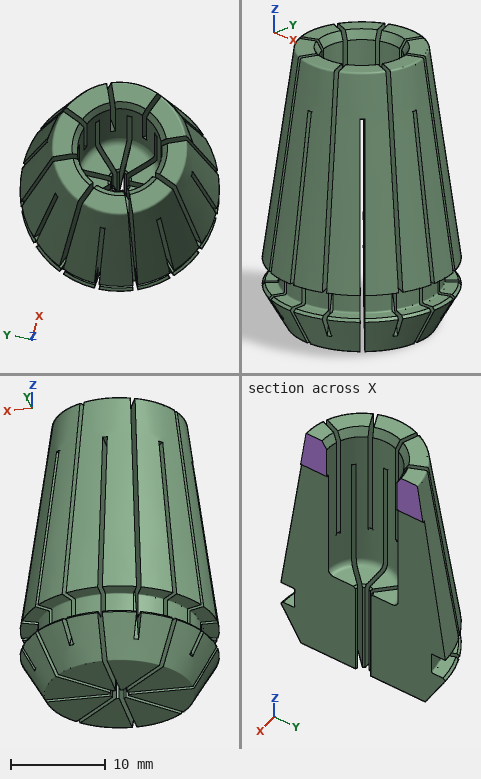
import cadquery as cq
import math

length = 31.5
max_radius = 10.5
taper_half_angle = 8.0
taper_start_z = 7.5
mouth_edge_fillet = 0.25

groove_radius = 8.75
groove_floor_z = 4.75
groove_floor_fillet = 0.2
groove_roof_fillet = 0.1

flange_rim_chamfer = 0.3
flange_half_angle = 30.0
base_edge_fillet = 0.1

clamp_bore_radius = 1.0
clamp_bore_chamfer = 0.25
relief_radius = 4.45
relief_floor_z = 12.0
relief_floor_fillet = 0.75
relief_mouth_depth = 1.0
relief_mouth_angle = 30.0

slot_width = 0.5
slots_per_set = 8
slot_pitch = 360.0 / slots_per_set
base_slot_end_z = 26.5
mouth_slot_exit_z = 2.0
mouth_slot_floor_angle = 17.0
cut_margin = 1.0


def tan_deg(angle):
    return math.tan(math.radians(angle))


flange_rim_z = groove_floor_z - flange_rim_chamfer
base_radius = max_radius - flange_rim_z * tan_deg(flange_half_angle)
mouth_radius = max_radius - (length - taper_start_z) * tan_deg(taper_half_angle)


def circle_edge(radius, z):
    """Select the circular edge about the axis with this radius and height."""
    reach = 0.01
    return cq.selectors.BoxSelector(
        (-radius - reach, -radius - reach, z - reach),
        (radius + reach, radius + reach, z + reach),
        boundingbox=True,
    )


def make_body():
    """Turned outside shape with its rounded edges."""
    body = (
        cq.Workplane("XZ")
        .moveTo(0, 0)
        .lineTo(base_radius, 0)
        .lineTo(max_radius, flange_rim_z)
        .lineTo(max_radius - flange_rim_chamfer, groove_floor_z)
        .lineTo(groove_radius, groove_floor_z)
        .lineTo(groove_radius, taper_start_z)
        .lineTo(max_radius, taper_start_z)
        .lineTo(mouth_radius, length)
        .lineTo(0, length)
        .close()
        .revolve(360, (0, 0), (0, 1))
    )
    body = body.faces(">Z").edges().fillet(mouth_edge_fillet)
    body = body.faces("<Z").edges().fillet(base_edge_fillet)
    body = body.edges(circle_edge(groove_radius, groove_floor_z)).fillet(groove_floor_fillet)
    return body.edges(circle_edge(groove_radius, taper_start_z)).fillet(groove_roof_fillet)


def make_bore():
    """Stepped bore: narrow clamping hole, wide relief and flared mouth."""
    mouth_bore_radius = relief_radius + relief_mouth_depth * tan_deg(relief_mouth_angle)
    return (
        cq.Workplane("XZ")
        .moveTo(0, 0)
        .lineTo(clamp_bore_radius, 0)
        .lineTo(clamp_bore_radius, relief_floor_z - clamp_bore_chamfer)
        .lineTo(clamp_bore_radius + clamp_bore_chamfer, relief_floor_z)
        .lineTo(relief_radius - relief_floor_fillet, relief_floor_z)
        .radiusArc((relief_radius, relief_floor_z + relief_floor_fillet), -relief_floor_fillet)
        .lineTo(relief_radius, length - relief_mouth_depth)
        .lineTo(mouth_bore_radius, length)
        .lineTo(0, length)
        .close()
        .revolve(360, (0, 0), (0, 1))
    )


def make_base_slot():
    """Slot from the base up to a square end, cutting one side of the body."""
    return cq.Workplane("XY").box(
        max_radius + cut_margin,
        slot_width,
        base_slot_end_z,
        centered=(False, True, False),
    )


def make_mouth_slot():
    """Slot open at the mouth, with a floor sloping from the relief bore out to the flange."""
    exit_radius = base_radius + mouth_slot_exit_z * tan_deg(flange_half_angle)
    outer_radius = max_radius + cut_margin
    inner_radius = relief_radius - cut_margin
    floor_slope = 1 / tan_deg(mouth_slot_floor_angle)
    inner_z = mouth_slot_exit_z + (exit_radius - inner_radius) * floor_slope
    outer_z = mouth_slot_exit_z + (exit_radius - outer_radius) * floor_slope
    return (
        cq.Workplane("XZ")
        .moveTo(inner_radius, inner_z)
        .lineTo(outer_radius, outer_z)
        .lineTo(outer_radius, length)
        .lineTo(inner_radius, length)
        .close()
        .extrude(slot_width / 2, both=True)
    )


def cut_slot_set(body, slot, first_angle):
    """Cut equally spaced copies of a slot around the axis."""
    for i in range(slots_per_set):
        angle = first_angle + i * slot_pitch
        body = body.cut(slot.rotate((0, 0, 0), (0, 0, 1), angle))
    return body


collet = make_body().cut(make_bore())
collet = cut_slot_set(collet, make_base_slot(), 0)
result = cut_slot_set(collet, make_mouth_slot(), slot_pitch / 2)